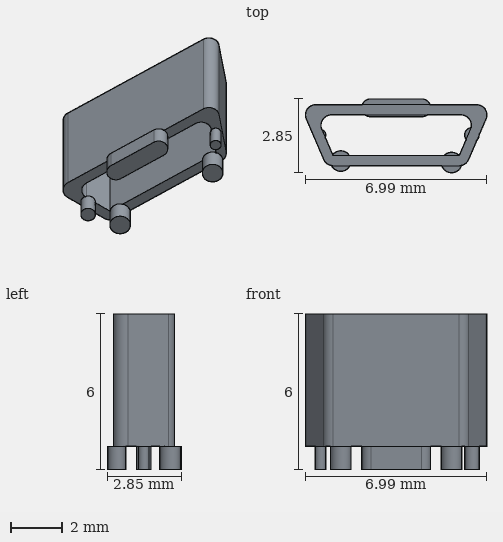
import cadquery as cq
import math

shell_width = 6.99
shell_depth = 2.355
shell_height = 5.095
wall = 0.4
corner_radius = 0.4
front_arc_spacing = 4.85

leg_height = 0.9
tab_length = 2.655
tab_thickness = 0.7
tab_overhang = 0.225

front_pin_x = 2.13
front_pin_diameter = 0.8
side_pin_x = 2.915
side_pin_y = 1.19
pin_places = [
    (-front_pin_x, 0.18, front_pin_diameter),
    (front_pin_x, 0.125, front_pin_diameter),
    (-side_pin_x, side_pin_y, 0.42),
    (side_pin_x, side_pin_y, 0.565),
]

back_arc_x = shell_width / 2 - corner_radius
front_arc_x = front_arc_spacing / 2
side_angle = math.atan2(back_arc_x - front_arc_x, shell_depth - 2 * corner_radius)


def trapezoid_prism(inset):
    """Shell outline with sharp corners, moved inward by inset and extruded."""
    side_x_at_front_arc = front_arc_x + (corner_radius - inset) / math.cos(side_angle)

    def half_width(y):
        return side_x_at_front_arc + (y - corner_radius) * math.tan(side_angle)

    front_y = inset
    back_y = shell_depth - inset
    return (
        cq.Workplane("XY", origin=(0, 0, leg_height))
        .polyline([
            (-half_width(front_y), front_y),
            (half_width(front_y), front_y),
            (half_width(back_y), back_y),
            (-half_width(back_y), back_y),
        ])
        .close()
        .extrude(shell_height)
    )


def make_shell():
    """Outer corners are all rounded; the opening is rounded only at the back."""
    outer = trapezoid_prism(0).edges("|Z").fillet(corner_radius)
    opening = trapezoid_prism(wall).edges("|Z and >Y").fillet(corner_radius)
    return outer.cut(opening)


def make_tab():
    """Round-ended tab under the back wall."""
    tab_y = shell_depth + tab_overhang - tab_thickness / 2
    return cq.Workplane("XY").center(0, tab_y).slot2D(tab_length, tab_thickness).extrude(leg_height)


def make_pin(x, y, diameter):
    return cq.Workplane("XY").center(x, y).circle(diameter / 2).extrude(leg_height)


shell = make_shell()
tab = make_tab()
pins = []
for x, y, diameter in pin_places:
    pins.append(make_pin(x, y, diameter).val())

result = cq.Compound.makeCompound([shell.val(), tab.val(), *pins])